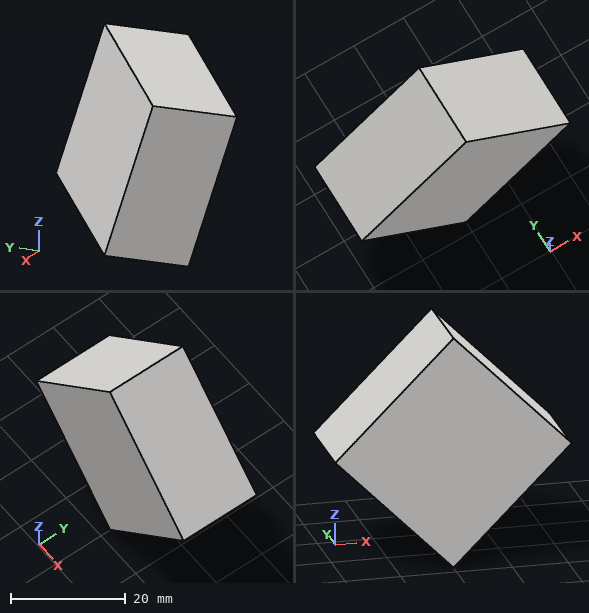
import cadquery as cq

diagonal = 42.45
thickness = 16.0

half_diagonal = diagonal / 2

corners = [
    (half_diagonal, 0),
    (0, half_diagonal),
    (-half_diagonal, 0),
    (0, -half_diagonal),
]
result = cq.Workplane("XZ").polyline(corners).close().extrude(thickness / 2, both=True)